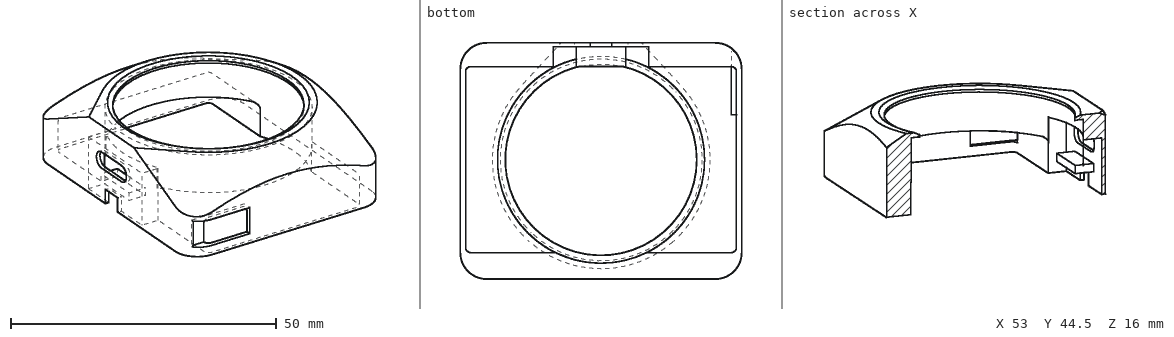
import math

import cadquery as cq

HALF_WIDTH = 26.5
FRONT_Y = -22.0
BACK_Y = 22.5
HEIGHT = 16.0
CORNER_RADIUS = 5.0

RIM_RADIUS = 20.5
CROWN_SLOPE = 0.63
FLAT_HALF_WIDTH = 7.6

LIP_RADIUS = 18.0
LIP_CHAMFER_WIDTH = 1.0
LIP_CHAMFER_DEPTH = 0.5
LIP_THICKNESS = 1.0
BORE_RADIUS = 19.5

SIDE_WALL = 1.0
CAVITY_HALF_DEPTH = 17.5
CAVITY_HEIGHT = 7.0
CAVITY_FILLET = 1.0

FRONT_WALL = 0.8
NICHE_WIDTH = 18.0
NICHE_HEIGHT = 11.0
SHELF_WIDTH = 9.4
SHELF_TOP = 5.0
SHELF_THICKNESS = 1.6

PORT_WIDTH = 10.1
PORT_HEIGHT = 3.4
PORT_CENTRE_Z = 8.7
NOTCH_WIDTH = 4.1
NOTCH_HEIGHT = 3.0

WINDOW_BOTTOM = 2.0
WINDOW_HEIGHT = 5.5
WINDOW_DEPTH = 2.0
WINDOW_FRONT_Y = -20.4
WINDOW_LENGTH = 12.0

block_depth = BACK_Y - FRONT_Y
niche_front_y = FRONT_Y + FRONT_WALL


def box_between(x_range, y_range, z_range):
    """Axis-aligned box given by its (low, high) limits along X, Y and Z."""
    sizes = [high - low for low, high in (x_range, y_range, z_range)]
    corner = (x_range[0], y_range[0], z_range[0])
    return cq.Workplane("XY").box(*sizes, centered=False).translate(corner)


def centred_box(width, y_range, z_range):
    """Box of the given width, symmetric about the YZ plane."""
    return box_between((-width / 2, width / 2), y_range, z_range)


def crown():
    """Cone extended at the front by two planes tangent to it."""
    base_radius = RIM_RADIUS + HEIGHT / CROWN_SLOPE
    cone = cq.Workplane("XY").circle(base_radius).workplane(offset=HEIGHT).circle(RIM_RADIUS).loft()

    flat_corner_distance = math.hypot(FLAT_HALF_WIDTH, FRONT_Y)
    flat_corner_angle = math.atan2(FRONT_Y, FLAT_HALF_WIDTH)
    tangent_angle = flat_corner_angle + math.acos(RIM_RADIUS / flat_corner_distance)

    def kite(radius):
        tangent_x = radius * math.cos(tangent_angle)
        tangent_y = radius * math.sin(tangent_angle)
        tip_y = radius / math.sin(tangent_angle)
        return [(0, 0), (tangent_x, tangent_y), (0, tip_y), (-tangent_x, tangent_y)]

    front_wedge = (
        cq.Workplane("XY")
        .polyline(kite(base_radius))
        .close()
        .workplane(offset=HEIGHT)
        .polyline(kite(RIM_RADIUS))
        .close()
        .loft(ruled=True)
    )
    return cone.union(front_wedge)


def body():
    block = centred_box(2 * HALF_WIDTH, (FRONT_Y, BACK_Y), (0, HEIGHT))
    return block.edges("|Z").fillet(CORNER_RADIUS).intersect(crown())


def opening():
    """Bore, lip hole and the chamfer at the top of the lip."""
    bore = cq.Workplane("XY").circle(BORE_RADIUS).extrude(HEIGHT - LIP_THICKNESS)
    lip_hole = cq.Workplane("XY").circle(LIP_RADIUS).extrude(HEIGHT)
    chamfer = (
        cq.Workplane("XY")
        .workplane(offset=HEIGHT - LIP_CHAMFER_DEPTH)
        .circle(LIP_RADIUS)
        .workplane(offset=LIP_CHAMFER_DEPTH)
        .circle(LIP_RADIUS + LIP_CHAMFER_WIDTH)
        .loft()
    )
    return bore.union(lip_hole).union(chamfer)


def cavity():
    width = 2 * (HALF_WIDTH - SIDE_WALL)
    box = centred_box(width, (-CAVITY_HALF_DEPTH, CAVITY_HALF_DEPTH), (0, CAVITY_HEIGHT))
    return box.edges("|Z or >Z").fillet(CAVITY_FILLET)


def niche():
    return centred_box(NICHE_WIDTH, (niche_front_y, -CAVITY_HALF_DEPTH), (0, NICHE_HEIGHT))


def shelf():
    shelf_z = (SHELF_TOP - SHELF_THICKNESS, SHELF_TOP)
    return centred_box(SHELF_WIDTH, (niche_front_y, -CAVITY_HALF_DEPTH), shelf_z)


def port():
    """Obround hole through the front wall."""
    return (
        cq.Workplane("XZ", origin=(0, niche_front_y, PORT_CENTRE_Z))
        .slot2D(PORT_WIDTH, PORT_HEIGHT)
        .extrude(FRONT_WALL)
    )


def notch():
    return centred_box(NOTCH_WIDTH, (FRONT_Y, niche_front_y), (0, NOTCH_HEIGHT))


def side_window():
    return box_between(
        (HALF_WIDTH - WINDOW_DEPTH, HALF_WIDTH),
        (WINDOW_FRONT_Y, WINDOW_FRONT_Y + WINDOW_LENGTH),
        (WINDOW_BOTTOM, WINDOW_BOTTOM + WINDOW_HEIGHT),
    )


result = body()
for cutter in (opening(), cavity(), niche(), port(), notch(), side_window()):
    result = result.cut(cutter)
result = result.union(shelf())